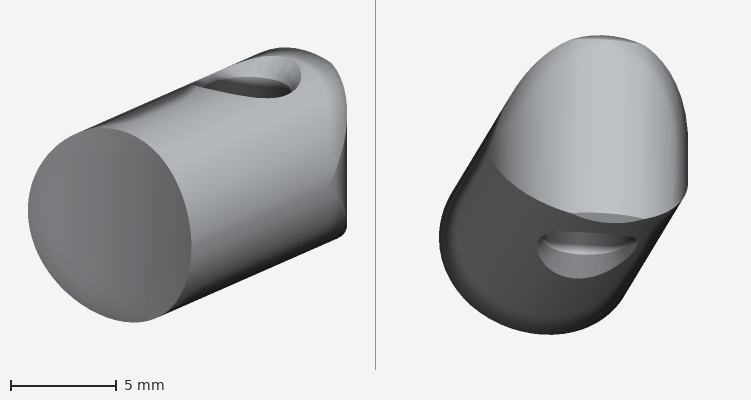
import cadquery as cq

length = 15.91
diameter = 9.53
end_chamfer = 0.35
saddle_sagitta = 0.65
hole_diameter = 4.2
countersink_radius = 2.99

radius = diameter / 2
hole_radius = hole_diameter / 2
front_y = radius - length
saddle_radius = (radius**2 + saddle_sagitta**2) / (2 * saddle_sagitta)
saddle_center_y = front_y + saddle_sagitta - saddle_radius


def upright_cylinder(cylinder_radius, center_y=0):
    """Cylinder along Z, tall enough to span the bar."""
    return cq.Workplane("XY").center(0, center_y).circle(cylinder_radius).extrude(radius, both=True)


def make_bar():
    """Bar along Y with a chamfered back end."""
    bar = cq.Workplane("XZ", origin=(0, radius, 0)).circle(radius).extrude(length)
    return bar.faces(">Y").chamfer(end_chamfer)


def round_back_end(bar):
    """Round the back end about the cross hole axis."""
    straight_length = -front_y
    straight = cq.Workplane("XY").box(diameter, straight_length, diameter).translate((0, front_y / 2, 0))
    return bar.intersect(upright_cylinder(radius).union(straight))


def make_countersunk_hole():
    """Through hole along Z, countersunk at 45 degrees from both sides."""
    sink_depth = countersink_radius - hole_radius
    sink_bottom = radius - sink_depth
    return (
        cq.Workplane("XZ")
        .moveTo(0, -radius)
        .lineTo(countersink_radius, -radius)
        .lineTo(hole_radius, -sink_bottom)
        .lineTo(hole_radius, sink_bottom)
        .lineTo(countersink_radius, radius)
        .lineTo(0, radius)
        .close()
        .revolve(360, (0, 0, 0), (0, 1, 0))
    )


result = round_back_end(make_bar())
result = result.cut(upright_cylinder(saddle_radius, saddle_center_y))
result = result.cut(make_countersunk_hole())